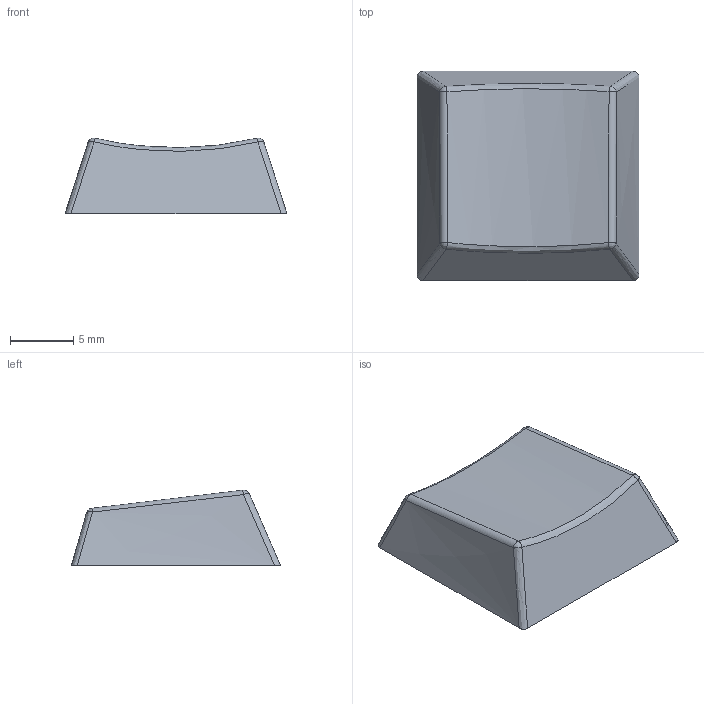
import cadquery as cq
import math

BASE_WIDTH = 17.5
BASE_LENGTH = 16.5

RIM_WIDTH = 13.6
RIM_FRONT_Y = -5.59
RIM_BACK_Y = 6.94
TOP_TILT = 6.9
RIM_HEIGHT = 5.43

DISH_SAG = 0.88

EDGE_RADIUS = 0.5
BLANK_STRETCH = 1.25


def rim_z(y):
    """Height of the rim plane at a given y."""
    return RIM_HEIGHT - y * math.tan(math.radians(TOP_TILT))


def stretched(base, rim):
    """Point on the line from a base corner through its rim corner, past the rim."""
    return tuple(b + BLANK_STRETCH * (r - b) for b, r in zip(base, rim))


def tapered_blank():
    """Ruled solid whose four walls run from the base outline through the rim."""
    corners = []
    for x_side, y_side in ((-1, -1), (1, -1), (1, 1), (-1, 1)):
        base = (x_side * BASE_WIDTH / 2, y_side * BASE_LENGTH / 2, 0)
        rim_y = RIM_FRONT_Y if y_side < 0 else RIM_BACK_Y
        rim = (x_side * RIM_WIDTH / 2, rim_y, rim_z(rim_y))
        corners.append((base, stretched(base, rim)))
    base_wire = cq.Wire.makePolygon([cq.Vector(*base) for base, _ in corners], close=True)
    top_wire = cq.Wire.makePolygon([cq.Vector(*top) for _, top in corners], close=True)
    return cq.Workplane(obj=cq.Solid.makeLoft([base_wire, top_wire], True))


def dish_cutter():
    """Cylinder along the tilted top, reaching DISH_SAG below the rim plane."""
    half_chord = RIM_WIDTH / 2
    radius = (half_chord ** 2 + DISH_SAG ** 2) / (2 * DISH_SAG)
    tilt = math.radians(TOP_TILT)
    axis = cq.Vector(0, math.cos(tilt), -math.sin(tilt))
    normal = cq.Vector(0, math.sin(tilt), math.cos(tilt))
    centre = cq.Vector(0, 0, RIM_HEIGHT) + normal * (radius - DISH_SAG)
    start = centre - axis * BASE_LENGTH
    return cq.Workplane(obj=cq.Solid.makeCylinder(radius, 2 * BASE_LENGTH, start, axis))


def round_edges(body):
    """Round the wall corners and the rim; the bottom edges stay sharp."""
    bottom_edges = body.faces("<Z").edges().vals()
    rounded = [e for e in body.edges().vals() if not any(e.isSame(b) for b in bottom_edges)]
    return body.newObject(rounded).fillet(EDGE_RADIUS)


result = round_edges(tapered_blank().cut(dish_cutter()))